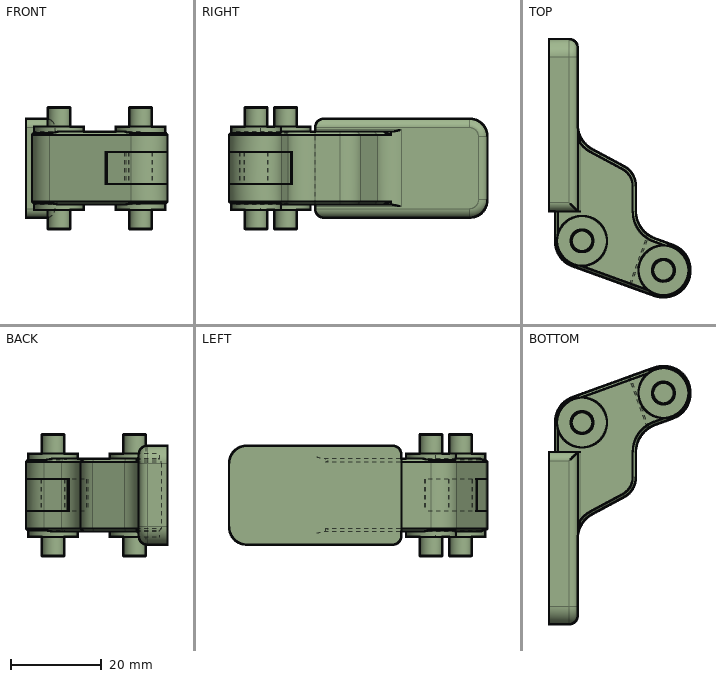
import cadquery as cq
import math


plate_length = 38.05
plate_thickness = 6.4
plate_height = 21.9
plate_edge_radius = 2.0
far_corner_radius = 4.0
near_corner_radius = 2.0

arm_height = 16.1
arm_chamfer = 0.75
arm_angle = 20
arm_end_radius = 6.0
near_pin_x = 7.3
near_pin_y = -6.5
far_pin_x = 25.25
far_pin_y = -13.0
web_side_x = 19.2
web_slope_angle = 28.2
web_corner_y = 8.55
web_corner_radius = 5.0
web_root_radius = 6.0
web_seam_radius = 0.45

pin_diameter = 5.0
pin_hole_diameter = 5.3
pin_length = 27.0
pin_chamfer = 0.2
washer_diameter = 11.0
washer_stack_height = 18.35
pin_places = [(near_pin_x, near_pin_y), (far_pin_x, far_pin_y)]

slot_height = 7.05
slot_depth = arm_end_radius
knuckle_gap = 0.35

arm_sin = math.sin(math.radians(arm_angle))
arm_cos = math.cos(math.radians(arm_angle))


def centred_prism(outline, height):
    """Extrude an XY outline symmetrically about Z = 0."""
    return outline.extrude(height / 2, both=True)


def polar(centre, radius, degrees):
    """Point on a circle, measured anticlockwise from +X."""
    angle = math.radians(degrees)
    return centre[0] + radius * math.cos(angle), centre[1] + radius * math.sin(angle)


def plate_block():
    """Plate before any rounding."""
    return (
        cq.Workplane("XY")
        .box(plate_thickness, plate_length, plate_height, centered=(False, False, True))
    )


def make_plate():
    """Plate whose inner edges are rounded on three sides; the lower end stays flat."""
    rounded_edges = (
        plate_block()
        .edges("|X and >Y").fillet(far_corner_radius)
        .faces(">X").edges("not <Y").fillet(plate_edge_radius)
    )
    rounded_corners = plate_block().edges("|X and <Y").fillet(near_corner_radius)
    return rounded_edges.intersect(rounded_corners)


def arm_outline():
    """Outline of web and arm, anticlockwise from the left side of the arm."""
    near_pin = (near_pin_x, near_pin_y)
    far_pin = (far_pin_x, far_pin_y)
    left_x = near_pin_x - arm_end_radius
    below = -90 - arm_angle
    above = 90 - arm_angle

    inside_radius = (
        (web_side_x - far_pin_x) * arm_sin - far_pin_y * arm_cos - arm_end_radius
    ) / (1 - arm_sin)
    inside_centre = (web_side_x + inside_radius, 0)

    slope_tan = math.tan(math.radians(web_slope_angle))
    slope_cos = math.cos(math.radians(web_slope_angle))
    corner_x = web_side_x - web_corner_radius
    corner_slope_y = web_corner_y + web_corner_radius * slope_tan
    corner_centre = (corner_x, corner_slope_y - web_corner_radius / slope_cos)
    root_x = plate_thickness + web_root_radius
    root_slope_y = web_corner_y + (web_side_x - root_x) * slope_tan
    root_centre = (root_x, root_slope_y + web_root_radius / slope_cos)
    slope_normal = 90 - web_slope_angle

    return (
        cq.Workplane("XY")
        .moveTo(left_x, root_centre[1])
        .lineTo(left_x, near_pin_y)
        .threePointArc(
            polar(near_pin, arm_end_radius, (180 + 360 + below) / 2),
            polar(near_pin, arm_end_radius, below),
        )
        .lineTo(*polar(far_pin, arm_end_radius, below))
        .threePointArc(
            polar(far_pin, arm_end_radius, (below + above) / 2),
            polar(far_pin, arm_end_radius, above),
        )
        .lineTo(*polar(inside_centre, inside_radius, above + 180))
        .threePointArc(
            polar(inside_centre, inside_radius, above / 2 + 180),
            (web_side_x, 0),
        )
        .lineTo(web_side_x, corner_centre[1])
        .threePointArc(
            polar(corner_centre, web_corner_radius, slope_normal / 2),
            polar(corner_centre, web_corner_radius, slope_normal),
        )
        .lineTo(*polar(root_centre, web_root_radius, slope_normal + 180))
        .threePointArc(
            polar(root_centre, web_root_radius, slope_normal / 2 + 180),
            (plate_thickness, root_centre[1]),
        )
        .close()
    )


def make_arm():
    """Web and arm with chamfered upper and lower rims."""
    arm = centred_prism(arm_outline(), arm_height)
    return arm.faces("|Z").edges().chamfer(arm_chamfer)


def make_web_seams():
    """Concave fillet strips along the plate face, above and below the web, cut to its outline."""
    face_z = arm_height / 2
    upper_strip = (
        cq.Workplane("XZ")
        .moveTo(plate_thickness + web_seam_radius, face_z)
        .radiusArc((plate_thickness, face_z + web_seam_radius), web_seam_radius)
        .lineTo(plate_thickness - web_seam_radius, face_z + web_seam_radius)
        .lineTo(plate_thickness - web_seam_radius, face_z - arm_chamfer)
        .lineTo(plate_thickness + web_seam_radius, face_z - arm_chamfer)
        .close()
        .extrude(-plate_length)
    )
    strips = upper_strip.union(upper_strip.mirror("XY"))
    return strips.intersect(centred_prism(arm_outline(), plate_height))


def slot_space(depth):
    """Space around the arm end, starting at `depth` before the far pin axis."""
    end_diameter = 2 * arm_end_radius
    reach = depth + end_diameter
    width = 2 * end_diameter
    return (
        cq.Workplane("XY")
        .box(reach, width, slot_height, centered=(False, True, True))
        .translate((-depth, 0, 0))
        .rotate((0, 0, 0), (0, 0, 1), -arm_angle)
        .translate((far_pin_x, far_pin_y, 0))
    )


def make_pins():
    """Both pins, chamfered at their tips."""
    pins = centred_prism(
        cq.Workplane("XY").pushPoints(pin_places).circle(pin_diameter / 2), pin_length
    )
    return pins.faces("<Z or >Z").edges().chamfer(pin_chamfer)


def make_washers():
    """Washers on both arm faces, as discs that run through the arm."""
    return centred_prism(
        cq.Workplane("XY").pushPoints(pin_places).circle(washer_diameter / 2), washer_stack_height
    )


def make_bracket():
    """Plate, arm, washers and pins as one body, with the slot open at the arm end."""
    body = make_plate().union(make_arm()).union(make_web_seams()).union(make_washers())
    return body.cut(slot_space(slot_depth)).union(make_pins())


def make_knuckle():
    """Arm end piece that fills the slot flush with the arm and turns on the far pin."""
    block = centred_prism(arm_outline(), arm_height).intersect(slot_space(slot_depth - knuckle_gap))
    pin_hole = centred_prism(
        cq.Workplane("XY").center(far_pin_x, far_pin_y).circle(pin_hole_diameter / 2), slot_height
    )
    return block.cut(pin_hole)


bracket = make_bracket()
knuckle = make_knuckle()
result = cq.Compound.makeCompound([bracket.val(), knuckle.val()])